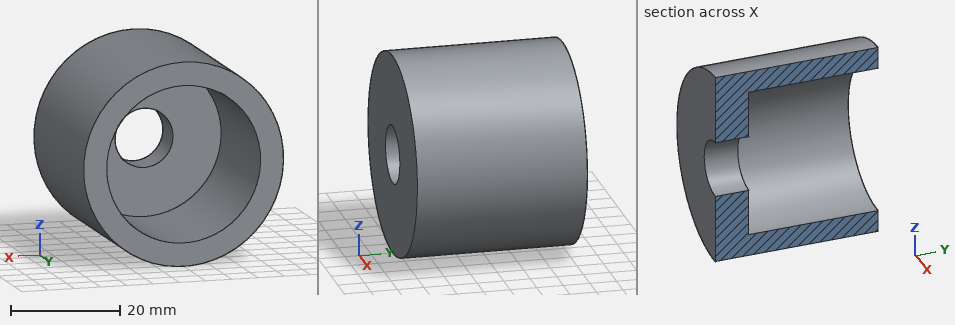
import cadquery as cq

outer_diameter = 38.1
length = 32.0

bore_diameter = 11.0
end_wall_thickness = 6.6
counterbore_diameter = 29.35

front_y = -length / 2
counterbore_depth = length - end_wall_thickness


def cylinder(diameter, start_y, depth):
    """Solid cylinder running from start_y toward +Y."""
    plane = cq.Plane(origin=(0, start_y, 0), xDir=(0, 0, 1), normal=(0, 1, 0))
    return cq.Workplane(plane).circle(diameter / 2).extrude(depth)


body = cylinder(outer_diameter, front_y, length)
bore = cylinder(bore_diameter, front_y, length)
counterbore = cylinder(counterbore_diameter, front_y + end_wall_thickness, counterbore_depth)

result = body.cut(bore).cut(counterbore)